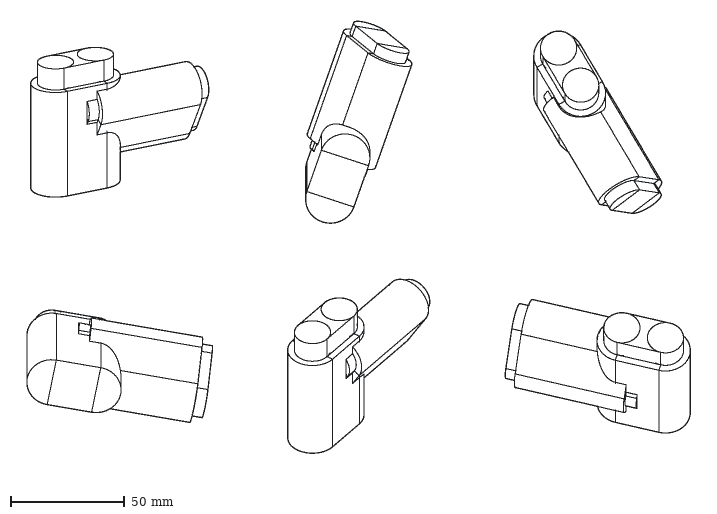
import cadquery as cq

overall_length = 81.0
outer_radius = 11.0
inner_radius = 8.0
center_spacing = 20.0
body_length = 50.0
top_boss_height = 10.05
arm_boss_length = 5.0
arm_axis_height = 29.3
arm_tilt = 30.0

half_spacing = center_spacing / 2
upright_half_depth = half_spacing + outer_radius
arm_far_end = overall_length - upright_half_depth
arm_length = body_length + 2 * arm_boss_length

SIDES = (-1, 1)


def round_end(radius, side, start, length):
    """Half cylinder along Z that closes one end (side -1 or 1 along Y) of an oblong section."""
    center = side * half_spacing
    return (
        cq.Workplane("XY", origin=(0, 0, start))
        .moveTo(-radius, center)
        .threePointArc((0, center + side * radius), (radius, center))
        .close()
        .extrude(length)
    )


def middle_block(radius, start, length):
    """Rectangular bar along Z that fills an oblong section between its round ends."""
    return (
        cq.Workplane("XY", origin=(0, 0, start))
        .rect(2 * radius, center_spacing)
        .extrude(length)
    )


def boss_rod(side):
    """Full round rod standing on the upright arm."""
    return (
        cq.Workplane("XY", origin=(0, side * half_spacing, body_length))
        .circle(inner_radius)
        .extrude(top_boss_height)
    )


def place_tilted_arm(body):
    """Lay a body built along Z down along Y, tilt it and move it to the arm's place."""
    return (
        body.rotate((0, 0, 0), (1, 0, 0), -90)
        .rotate((0, 0, 0), (0, 1, 0), arm_tilt)
        .translate((0, arm_far_end - arm_length, arm_axis_height))
    )


def fit_around_upright(body):
    """Cut the saddle that lets a tilted arm body sit around the upright arm."""
    for upright_body in (upright_block, *upright_ends):
        body = body.cut(upright_body)
    return body


def arm_end(side):
    """Stepped half cylinder of the tilted arm: thick body with a thin boss at both ends."""
    thick = round_end(outer_radius, side, arm_boss_length, body_length)
    thin = round_end(inner_radius, side, 0, arm_length)
    return fit_around_upright(place_tilted_arm(thick.union(thin)))


def arm_middle():
    """Stepped bar between the two round ends of the tilted arm."""
    thick = middle_block(outer_radius, arm_boss_length, body_length)
    thin = middle_block(inner_radius, 0, arm_length)
    return fit_around_upright(place_tilted_arm(thick.union(thin)))


upright_ends = [round_end(outer_radius, side, 0, body_length) for side in SIDES]
upright_block = middle_block(outer_radius, 0, body_length)

boss_rods = [boss_rod(side) for side in SIDES]
boss_web = middle_block(inner_radius, body_length, top_boss_height)
for rod in boss_rods:
    boss_web = boss_web.cut(rod)

arm_ends = [arm_end(side) for side in SIDES]
arm_block = arm_middle()

result = cq.Compound.makeCompound([
    *[end.solids().val() for end in upright_ends],
    upright_block.solids().val(),
    *[rod.solids().val() for rod in boss_rods],
    boss_web.solids().val(),
    *[end.solids().val() for end in arm_ends],
    arm_block.solids().val(),
])